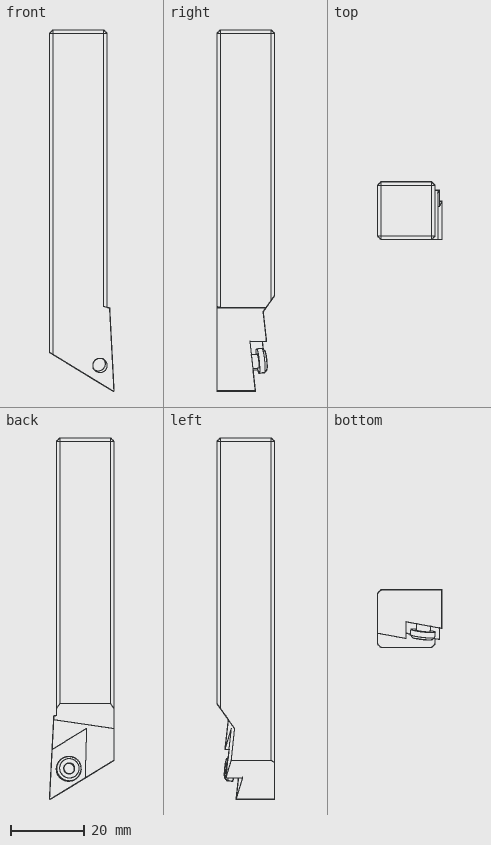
import cadquery as cq

LENGTH = 99.0
SHANK = 15.8
EDGE_CHAMFER = 1.0

WIDTH = 17.7
TIP_X = 17.5
TIP_Z = 0.2
END_SLOPE_Z = 10.7
SHOULDER_X = 16.5
SHOULDER_Z = 22.9
SHOULDER_RISE = 0.4

RAMP_TOP_Z = 26.2
RAMP_FOOT_Y = 11.0
RAMP_FOOT_Z = 19.4
TILT_X = 0.12
TILT_Z = -0.105

POCKET_X = 7.5
POCKET_SIDE_Z = 13.7
SEAT_DROP = 4.6

HOLE_X = 13.9
HOLE_Z = 7.1
SCREW_DIAMETER = 3.9
SCREW_TIP = 4.0
HEAD_START = 11.4
HEAD_END = 13.6
HEAD_DIAMETER = 6.7
HEAD_CHAMFER = 0.7
SOCKET_DIAMETER = 3.0
SOCKET_DEPTH = 1.2

OVERSIZE = 2 * LENGTH
END_SLOPE = END_SLOPE_Z / TIP_X
SIDE_SLOPE = (WIDTH - SHOULDER_X) / (SHOULDER_Z - TIP_Z)


def end_slope_z(x):
    """Height of the sloping end face at x."""
    return END_SLOPE_Z - END_SLOPE * x


def side_relief_x(z):
    """X of the relieved nose side at height z."""
    return WIDTH - SIDE_SLOPE * (z - TIP_Z)


def xz_prism(points):
    """Extrude an XZ outline from y = 0 through the shank depth."""
    return cq.Workplane("XZ").polyline(points).close().extrude(-SHANK)


def space_behind(y_at_foot):
    """Everything on the +Y side of the tilted plane through (0, y_at_foot, RAMP_FOOT_Z)."""
    plane = cq.Plane(
        origin=(0, y_at_foot, RAMP_FOOT_Z),
        xDir=(1, TILT_X, 0),
        normal=(-TILT_X, 1, -TILT_Z),
    )
    return cq.Workplane(plane).rect(OVERSIZE, OVERSIZE).extrude(LENGTH)


def screw_axis():
    """Workplane at the hole mouth, square to the insert seat."""
    return cq.Workplane(cq.Plane(
        origin=(HOLE_X, 0, HOLE_Z),
        xDir=(1, TILT_X, 0),
        normal=(-TILT_X, 1, -TILT_Z),
    ))


def make_blank():
    """Chamfered shank joined to the nose, with the sloping end cut off."""
    shank = cq.Workplane("XY").box(SHANK, SHANK, LENGTH, centered=False)
    shank = shank.edges("|Z or >Z").chamfer(EDGE_CHAMFER)
    shank_end = xz_prism([
        (0, END_SLOPE_Z),
        (SHANK, end_slope_z(SHANK)),
        (SHANK, LENGTH),
        (0, LENGTH),
    ])
    nose_inner_x = SHANK - EDGE_CHAMFER
    nose = xz_prism([
        (nose_inner_x, end_slope_z(nose_inner_x)),
        (TIP_X, 0),
        (WIDTH, TIP_Z),
        (SHOULDER_X, SHOULDER_Z),
        (nose_inner_x, SHOULDER_Z + SHOULDER_RISE),
    ])
    return shank.intersect(shank_end).union(nose)


def make_ramp_space():
    """Space above the ramp that leads down to the tilted face."""
    ramp_slope = (RAMP_TOP_Z - RAMP_FOOT_Z) / (SHANK - RAMP_FOOT_Y)
    bottom_y = 0.0
    bottom_z = RAMP_FOOT_Z - ramp_slope * RAMP_FOOT_Y
    return (
        cq.Workplane("YZ")
        .polyline([
            (SHANK, RAMP_TOP_Z),
            (bottom_y, bottom_z),
            (bottom_y, -LENGTH),
            (SHANK, -LENGTH),
        ])
        .close()
        .extrude(LENGTH)
    )


def make_pocket():
    """Rhombic pocket parallel to the sloping end and to the relieved side."""
    side_x = side_relief_x(POCKET_SIDE_Z)
    corner_z = POCKET_SIDE_Z + END_SLOPE * (side_x - POCKET_X)
    clear_x = side_x + WIDTH
    outline = xz_prism([
        (POCKET_X, corner_z),
        (POCKET_X + SIDE_SLOPE * corner_z, -WIDTH),
        (clear_x, -WIDTH),
        (clear_x, POCKET_SIDE_Z - END_SLOPE * WIDTH),
    ])
    return outline.intersect(space_behind(RAMP_FOOT_Y - SEAT_DROP))


def make_holder():
    clearance = make_ramp_space().intersect(space_behind(RAMP_FOOT_Y))
    hole = screw_axis().circle(SCREW_DIAMETER / 2).extrude(SHANK, both=True)
    return make_blank().cut(clearance).cut(make_pocket()).cut(hole)


def make_screw():
    """Screw with a chamfered head standing clear of the empty seat."""
    shaft_length = HEAD_END - SCREW_TIP
    shaft = screw_axis().workplane(offset=SCREW_TIP).circle(SCREW_DIAMETER / 2).extrude(shaft_length)
    head = screw_axis().workplane(offset=HEAD_START).circle(HEAD_DIAMETER / 2).extrude(HEAD_END - HEAD_START)
    head = head.faces(">Y").chamfer(HEAD_CHAMFER)
    socket = (
        screw_axis()
        .workplane(offset=HEAD_END - SOCKET_DEPTH)
        .circle(SOCKET_DIAMETER / 2)
        .extrude(SOCKET_DEPTH)
    )
    return shaft.union(head).cut(socket)


holder = make_holder()
screw = make_screw()

result = cq.Compound.makeCompound([holder.val(), screw.val()])